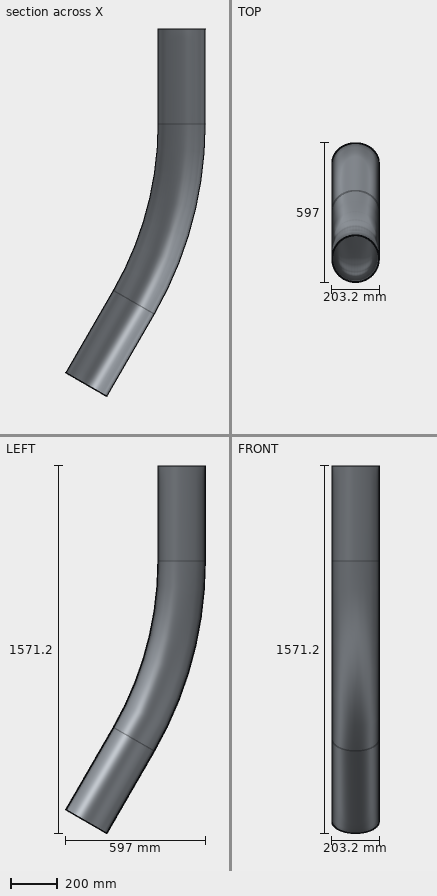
import cadquery as cq
import math

outer_diameter = 203.2
inner_diameter = 197.1
straight_length = 406.4
bend_radius = 1524.0
bend_angle = math.radians(30.0)


def bend_point(angle):
    """Centreline point (y, z) at an angle below the upper end of the bend."""
    y = bend_radius * (1.0 - math.cos(angle))
    z = -bend_radius * math.sin(angle)
    return y, z


def pipe_centreline():
    """Vertical run, bend towards +Y, then a sloping run, in the YZ plane."""
    bend_end_y, bend_end_z = bend_point(bend_angle)
    lower_end = (
        bend_end_y + straight_length * math.sin(bend_angle),
        bend_end_z - straight_length * math.cos(bend_angle),
    )
    return (
        cq.Workplane("YZ")
        .moveTo(0.0, straight_length)
        .lineTo(0.0, 0.0)
        .threePointArc(bend_point(bend_angle / 2.0), (bend_end_y, bend_end_z))
        .lineTo(*lower_end)
    )


def bent_pipe():
    """Sweep the ring-shaped wall section down the centreline from the upper end."""
    wall_section = (
        cq.Workplane("XY", origin=(0.0, 0.0, straight_length))
        .circle(outer_diameter / 2.0)
        .circle(inner_diameter / 2.0)
    )
    return wall_section.sweep(pipe_centreline())


result = bent_pipe()